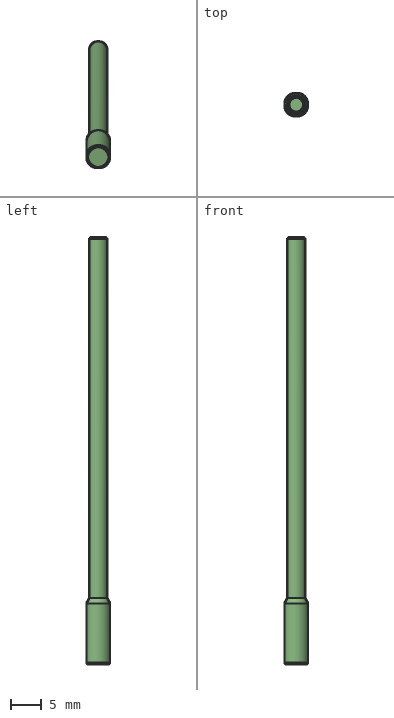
import cadquery as cq

total_length = 70.0
head_length = 10.85
rod_length = total_length - head_length

rod_diameter = 3.0
rod_tip_chamfer = 0.35

head_diameter = 3.9
head_bottom_chamfer = 0.3
shoulder_height = 0.85
shoulder_inset = (head_diameter - rod_diameter) / 2


def make_head():
    """Cylinder with a chamfered lower rim and a cone tapering up to the rod."""
    head = cq.Workplane("XY").circle(head_diameter / 2).extrude(head_length)
    head = head.faces("<Z").chamfer(head_bottom_chamfer)
    rim_ring = (
        cq.Workplane("XZ")
        .moveTo(head_diameter / 2, head_length - shoulder_height)
        .lineTo(head_diameter / 2, head_length)
        .lineTo(head_diameter / 2 - shoulder_inset, head_length)
        .close()
        .revolve(360, (0, 0), (0, 1))
    )
    return head.cut(rim_ring)


def make_rod():
    """Plain cylinder standing on the head, with a chamfered upper end."""
    rod = cq.Workplane("XY", origin=(0, 0, head_length)).circle(rod_diameter / 2).extrude(rod_length)
    return rod.faces(">Z").chamfer(rod_tip_chamfer)


head = make_head()
rod = make_rod()

result = cq.Compound.makeCompound([head.val(), rod.val()])